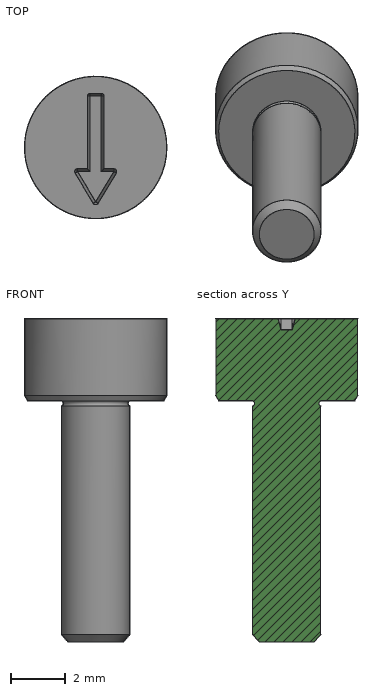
import cadquery as cq

head_diameter = 5.2
head_height = 3.0
head_chamfer_height = 0.2
head_chamfer_inset = 0.115

shank_diameter = 2.5
overall_length = 11.8
tip_chamfer_height = 0.28
tip_chamfer_inset = 0.25

groove_width = 0.18
groove_depth = 0.065

arrow_depth = 0.4
arrow_wall_angle = 15.0
arrow_stem_width = 0.4
arrow_tail_y = 1.87
arrow_shoulder_y = -0.88
arrow_head_width = 1.32
arrow_tip_y = -1.98


def make_body():
    """Revolve the head, relief groove and shank as one profile about Z."""
    head_radius = head_diameter / 2
    shank_radius = shank_diameter / 2
    shank_end_z = head_height - overall_length
    groove_bottom = (shank_radius - groove_depth, -groove_width / 2)
    return (
        cq.Workplane("XZ")
        .moveTo(0, head_height)
        .lineTo(head_radius, head_height)
        .lineTo(head_radius, head_chamfer_height)
        .lineTo(head_radius - head_chamfer_inset, 0)
        .lineTo(shank_radius, 0)
        .threePointArc(groove_bottom, (shank_radius, -groove_width))
        .lineTo(shank_radius, shank_end_z + tip_chamfer_height)
        .lineTo(shank_radius - tip_chamfer_inset, shank_end_z)
        .lineTo(0, shank_end_z)
        .close()
        .revolve(360, (0, 0, 0), (0, 1, 0))
    )


def make_arrow_cutter():
    """Arrow pointing to -Y, widening upward from the pocket floor to the head face."""
    half_stem = arrow_stem_width / 2
    half_head = arrow_head_width / 2
    return (
        cq.Workplane("XY", origin=(0, 0, head_height - arrow_depth))
        .moveTo(-half_stem, arrow_tail_y)
        .lineTo(half_stem, arrow_tail_y)
        .lineTo(half_stem, arrow_shoulder_y)
        .lineTo(half_head, arrow_shoulder_y)
        .lineTo(0, arrow_tip_y)
        .lineTo(-half_head, arrow_shoulder_y)
        .lineTo(-half_stem, arrow_shoulder_y)
        .close()
        .extrude(arrow_depth, taper=-arrow_wall_angle)
    )


result = make_body().cut(make_arrow_cutter())